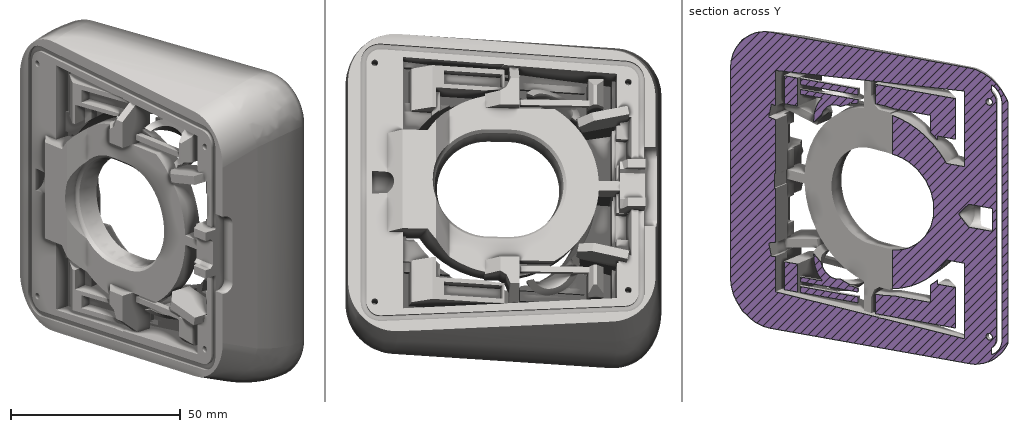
import cadquery as cq
import math


TILT = 10
WIDTH = 96.5
HEIGHT = 96.0
HALF_X = WIDTH / 2
HALF_Z = HEIGHT / 2
LEFT_DEPTH = 15.6
FLANK_START = 3.1
FLANK_ARC = 49.7
FLANK_DRAFT = 20
CORNER_ROUND = 14.1
BACK_ROUND = 2.9
STOCK_DEPTH = 38.6
OVERLAP = 1

GROOVE_LEFT = -45.3
GROOVE_RIGHT = 38.5
GROOVE_HALF_LEFT = 42.9
GROOVE_HALF_RIGHT = 38.2
GROOVE_WIDTH = 1.7
GROOVE_DEPTH = 1
GROOVE_CORNER = 5.8
PIN_CENTRES = [(-41.1, 36.7), (33.8, 31.9)]
PIN_DIAMETER = 1.9
PIN_DEPTH = 4.8
NOTCH_X = 38.6
NOTCH_HALF_Z = 12.2
NOTCH_DEPTH = 3.4
NOTCH_ROUND = 2.9

LEFT_FLOOR = -13.8
CORNER_FLOOR = -11.9
RIGHT_FLOOR = -15.4
RIGHT_SHELF = -21.2
ALCOVE_FLOOR = -26.1
ALCOVE_DEEP_FLOOR = -23.2
POCKET_LEFT = -32.8
POCKET_SPLIT = -1.2
POCKET_STEP = 29.3
POCKET_RIGHT = 30.4
POCKET_HALF_Z = 38.6
POCKET_TAPER = 0.066
CORNER_X = (-30.9, -2.9)
CORNER_Z = (26.0, 36.9)
ALCOVE_RIGHT = 34.2
ALCOVE_HALF_Z = 21.2
ALCOVE_DEEP_LEFT = 28.3
ALCOVE_DEEP_Z = (7.3, 15.4)

BORE_X = -2.9
BORE_RADIUS = 28.4
BORE_MOUTH = 29.6
BORE_FLARE_START = -7.7

BLOCK_TOP = -21.1
BLOCK_RAMP_FOOT = -16.2
BLOCK_LEFT = -29.1
BLOCK_CREST = -23.9
BLOCK_RIGHT = -23.0
BLOCK_Z = (23.1, 35.9)
BAR_RIGHT = -2.1
BAR_BOTTOM = 29.1
SLOT_X = (-20.6, -2.7)
SLOT_Z = (30.4, 34.4)
SLOT_DEPTH = 3.9
LEDGE_TOP = -16.4
LEDGE_BOTTOM = 19.3
PAD_X = (-32.0, -21.2)
PAD_BOTTOM = 16.8
PAD_HEIGHT = 1

RAIL_X = (1.9, 23.2)
LOW_RAILS = [(28.5, 30.1, -16.4), (31.5, 33.5, -16.9)]
BRIDGE_Z = (24.7, 26.4)
BRIDGE_HEIGHTS = (-2.9, -1)
POST_X = (22.1, 26.5)
POST_CREST = (23.4, 24.4)
POST_Z = (24.6, 33.5)
POST_FOOT = -14.5
POST_SHOULDER = -1.4
POST_TOP = 1.1
POST_SLOPE = [(29.9, 1.9), (34.7, -3.9), (34.7, 1.9)]

CABLE_OUTSIDE = 17.2
CABLE_HOLE = 12.8
CABLE_LEAN = 45
CABLE_ANGLE = 70
CABLE_MOUTH = (12.1, -23.2, 25.1)
CABLE_LENGTH = 19.3
SCREW_DIAMETER = 7.0
SCREW_START = -41.3
SCREW_END = -29.9
SCREW_Y = -16.2

BRACKET_THICK = 6.8
HOOK_HEIGHT = 4.0
HOOK_RAMP = 4.2
CLEARANCE = 0.8
DISC_RADIUS = BORE_RADIUS - CLEARANCE
DISC_FLAT = 23.35
DISC_STEP = 3.9
DISC_SLANT = [(13.0, DISC_FLAT), (17.4, 20.3), (19.8, 20.3)]
TAB_LEFT = -37.4
TAB_TOP_RIGHT = -23.3
TAB_RAMP_END = -19.0
TAB_HALF_Z = 15.15
TAB_CHANNEL_X = -30.2
MIDDLE_ARM_END = 1.4
MIDDLE_ARM_WIDTH = 2.7
MIDDLE_ARM_TOP = 37.15
MIDDLE_HOOK_LEFT = -8.5
MIDDLE_HOOK_TOP = 27.7
MIDDLE_SHOULDER = (-2.4, 28.85)
MIDDLE_SLOPE_START = 31.5
MIDDLE_SLOPE_END = (36.2, -1.9)
MIDDLE_CHANNEL_DEPTH = 13.5
MIDDLE_CHANNEL_TOP = 35.7
NECK_START = 19.3
NECK_HALF_Z = 1.4
NECK_CHANNEL_END = 29.7
END_BLOCK_LEFT = 31.3
END_BLOCK_HALF_Z = 7.2
SADDLE_HALF_Z = 4.6
SADDLE_HEIGHT = 1.1
SADDLE_BEVEL = 1
SIDE_ARM_ROOT = (19.2, 17.85)
SIDE_ARM_ANGLE = 12
SIDE_ARM_LENGTH = 15.0
SIDE_ARM_WIDTH = 2.6
SIDE_CHANNEL_LENGTH = 12.5
OPENING_X = -4.3
OPENING_RADIUS = 16.8
OPENING_BACK_RADIUS = 15.0
OPENING_STRETCH = 6.2
OPENING_BEVEL = 0.9

SIN = math.sin(math.radians(TILT))
COS = math.cos(math.radians(TILT))
FRONT_AT_CENTRE = -(LEFT_DEPTH + HALF_X * SIN / COS)

FRONT = cq.Plane(origin=(0, FRONT_AT_CENTRE, 0), xDir=(COS, -SIN, 0), normal=(-SIN, -COS, 0))


def mirrored(shape):
    """The shape together with its mirror image about Z = 0."""
    return shape.union(shape.mirror("XY"))


def front_plane(height):
    return cq.Workplane(FRONT).workplane(offset=height)


def front_prism(points, low, high):
    """Polygon on the front plane, extruded between two heights along its normal."""
    return front_plane(low).polyline(points).close().extrude(high - low)


def front_block(x0, x1, z0, z1, low, high):
    return front_prism([(x0, z0), (x1, z0), (x1, z1), (x0, z1)], low, high)


def straight_block(x0, x1, y0, y1, z0, z1):
    """Box aligned with the axes, given by its limits."""
    return cq.Workplane("XY").box(x1 - x0, y1 - y0, z1 - z0, centered=False).translate((x0, y0, z0))


def profile_along_z(points, z0, z1):
    return cq.Workplane("XY").workplane(offset=z0).polyline(points).close().extrude(z1 - z0)


def side_prism(points, z0, z1):
    """Outline of (along the front plane, height above it), extruded between two Z levels."""
    side = cq.Plane(origin=(0, FRONT_AT_CENTRE, z0), xDir=FRONT.xDir, normal=(0, 0, -1))
    return cq.Workplane(side).polyline(points).close().extrude(z0 - z1)


def cross_prism(points, x0, x1):
    """Outline of (Z, height above the front plane), extruded along the front plane's slope."""
    section = cq.Plane(origin=FRONT.toWorldCoords((x0, 0, 0)), xDir=(0, 0, 1), normal=FRONT.xDir)
    return cq.Workplane(section).polyline(points).close().extrude(x1 - x0)


def flank(sketch, half):
    """Continue a profile from the back along one bulged flank, for a half width or height."""
    draft = math.radians(FLANK_DRAFT)
    middle = draft / 2
    centre = half - FLANK_ARC
    arc_end = (centre + FLANK_ARC * math.cos(draft), -FLANK_START - FLANK_ARC * math.sin(draft))
    tip = arc_end[0] - (STOCK_DEPTH + arc_end[1]) * math.tan(draft)
    return (
        sketch.lineTo(half, -FLANK_START)
        .threePointArc(
            (centre + FLANK_ARC * math.cos(middle), -FLANK_START - FLANK_ARC * math.sin(middle)), arc_end
        )
        .lineTo(tip, -STOCK_DEPTH)
    )


def wedge():
    left_back = -HALF_X + LEFT_DEPTH * SIN / COS
    left_tip = left_back - STOCK_DEPTH * SIN / COS
    plan = cq.Workplane("XY").moveTo(left_back, 0).lineTo(HALF_X, 0)
    plan = flank(plan, HALF_X).lineTo(left_tip, -STOCK_DEPTH).close()
    plan = plan.extrude(HALF_Z, both=True)
    across = cq.Plane(origin=(-WIDTH, 0, 0), xDir=(0, 0, 1), normal=(-1, 0, 0))
    half = flank(cq.Workplane(across).lineTo(HALF_Z, 0), HALF_Z).lineTo(0, -STOCK_DEPTH).close()
    half = half.extrude(-2 * WIDTH)
    body = plan.intersect(mirrored(half))
    body = body.edges("not(|X or |Z)").fillet(CORNER_ROUND)
    body = body.faces(">Y").edges().fillet(BACK_ROUND)
    return body.cut(front_block(-WIDTH, WIDTH, -HALF_X, HALF_X, 0, STOCK_DEPTH))


def seal_groove():
    """Narrow groove that follows the tapered rim."""
    outline = [
        (GROOVE_LEFT, GROOVE_HALF_LEFT),
        (GROOVE_RIGHT, GROOVE_HALF_RIGHT),
        (GROOVE_RIGHT, -GROOVE_HALF_RIGHT),
        (GROOVE_LEFT, -GROOVE_HALF_LEFT),
    ]
    corners = cq.selectors.ParallelDirSelector(FRONT.zDir)
    outer = front_prism(outline, -GROOVE_DEPTH, OVERLAP).edges(corners).fillet(GROOVE_CORNER)
    inner = (
        front_plane(-GROOVE_DEPTH)
        .polyline(outline)
        .close()
        .offset2D(-GROOVE_WIDTH)
        .extrude(OVERLAP + GROOVE_DEPTH)
    )
    inner = inner.edges(corners).fillet(GROOVE_CORNER - GROOVE_WIDTH)
    return outer.cut(inner)


def pin_holes():
    centres = [(x, side * z) for x, z in PIN_CENTRES for side in (1, -1)]
    return front_plane(-PIN_DEPTH).pushPoints(centres).circle(PIN_DIAMETER / 2).extrude(2 * PIN_DEPTH)


def rim_notch():
    """Shallow notch across the right rim, with rounded ends."""
    notch = front_block(NOTCH_X, HALF_X, -NOTCH_HALF_Z, NOTCH_HALF_Z, -NOTCH_DEPTH, 2 * NOTCH_DEPTH)
    return notch.edges(cq.selectors.ParallelDirSelector(FRONT.xDir)).fillet(NOTCH_ROUND)


def pocket_edge(x):
    """Half height of the pocket opening, which narrows to the right."""
    return POCKET_HALF_Z - POCKET_TAPER * (x - POCKET_LEFT)


def tapered_pocket(x0, x1, floor):
    """Pocket with walls square to the front plane and a floor parallel to the back."""
    half0 = pocket_edge(x0)
    half1 = pocket_edge(x1)
    pocket = front_prism([(x0, half0), (x1, half1), (x1, -half1), (x0, -half0)], -STOCK_DEPTH, OVERLAP)
    return pocket.intersect(straight_block(-HALF_X, HALF_X, -STOCK_DEPTH, floor, -HALF_Z, HALF_Z))


def pockets():
    left = tapered_pocket(POCKET_LEFT, POCKET_SPLIT, LEFT_FLOOR)
    right = tapered_pocket(POCKET_SPLIT, POCKET_RIGHT, RIGHT_SHELF)
    right = right.union(tapered_pocket(POCKET_SPLIT, POCKET_STEP, RIGHT_FLOOR))
    alcove = straight_block(0, ALCOVE_RIGHT, -STOCK_DEPTH, ALCOVE_FLOOR, -ALCOVE_HALF_Z, ALCOVE_HALF_Z)
    corner = mirrored(straight_block(*CORNER_X, -STOCK_DEPTH, CORNER_FLOOR, *CORNER_Z))
    deep = straight_block(ALCOVE_DEEP_LEFT, ALCOVE_RIGHT, -STOCK_DEPTH, ALCOVE_DEEP_FLOOR, *ALCOVE_DEEP_Z)
    return left.union(right).union(alcove).union(corner).union(mirrored(deep))


def bore():
    """Round bore from the back, flared to its mouth at the left pocket floor."""
    section = [
        (0, OVERLAP),
        (BORE_RADIUS, OVERLAP),
        (BORE_RADIUS, BORE_FLARE_START),
        (BORE_MOUTH, LEFT_FLOOR),
        (BORE_MOUTH, -STOCK_DEPTH),
        (0, -STOCK_DEPTH),
    ]
    round_part = cq.Workplane("XY").polyline(section).close().revolve(360, (0, 0, 0), (0, 1, 0))
    return round_part.translate((BORE_X, 0, 0))


def arm_channels():
    """Slots through the body that leave room around the arms of the bracket."""
    deep = -STOCK_DEPTH
    neck = NECK_HALF_Z + CLEARANCE
    tab_side = TAB_HALF_Z + CLEARANCE
    arm_left = MIDDLE_ARM_END - MIDDLE_ARM_WIDTH - CLEARANCE
    arm_right = MIDDLE_ARM_END + CLEARANCE
    channels = front_block(0, NECK_CHANNEL_END, -neck, neck, deep, 0)
    channels = channels.union(straight_block(TAB_CHANNEL_X, BORE_X, deep, OVERLAP, -tab_side, tab_side))
    upper = front_block(arm_left, arm_right, 0, MIDDLE_CHANNEL_TOP, -MIDDLE_CHANNEL_DEPTH, 0)
    slanted = front_block(0, SIDE_CHANNEL_LENGTH, -CLEARANCE, SIDE_ARM_WIDTH + CLEARANCE, deep, 0)
    return channels.union(mirrored(upper)).union(mirrored(place_side_arm(slanted)))


def cable_tube(diameter, outward_length):
    """Slanted cylinders that run from the right pockets down into the bore."""
    lean = math.radians(CABLE_LEAN)
    angle = math.radians(CABLE_ANGLE)
    axis = (math.cos(lean) * math.cos(angle), -math.sin(lean), math.cos(lean) * math.sin(angle))
    mouth = cq.Workplane(cq.Plane(origin=CABLE_MOUTH, normal=axis)).workplane(offset=outward_length)
    return mirrored(mouth.circle(diameter / 2).extrude(-CABLE_LENGTH - outward_length))


def screw_channel():
    """Round channel along X in the left rim, with a conical end inside the tab."""
    radius = SCREW_DIAMETER / 2
    profile = [(SCREW_START, 0), (SCREW_START, radius), (SCREW_END - radius, radius), (SCREW_END, 0)]
    channel = cq.Workplane("XY").polyline(profile).close().revolve(360, (0, 0, 0), (1, 0, 0))
    return channel.translate((0, SCREW_Y, 0))


def left_blocks():
    """Ramped blocks with a flat top and a long slot, and a lower ledge beside each."""
    buried = LEFT_FLOOR + 3 * OVERLAP
    bottom, top = BLOCK_Z
    ramp = [
        (BLOCK_LEFT, buried),
        (BLOCK_LEFT, BLOCK_RAMP_FOOT),
        (BLOCK_CREST, BLOCK_TOP),
        (BLOCK_RIGHT, BLOCK_TOP),
        (BLOCK_RIGHT, buried),
    ]
    block = profile_along_z(ramp, bottom, top)
    bar = straight_block(BLOCK_CREST, BAR_RIGHT, BLOCK_TOP, buried, BAR_BOTTOM, top)
    ledge = straight_block(BLOCK_RIGHT, SLOT_X[0], LEDGE_TOP, buried, LEDGE_BOTTOM, BAR_BOTTOM)
    pad = straight_block(*PAD_X, LEFT_FLOOR - PAD_HEIGHT, buried, PAD_BOTTOM, bottom)
    slot = straight_block(*SLOT_X, BLOCK_TOP - OVERLAP, BLOCK_TOP + SLOT_DEPTH, *SLOT_Z)
    return mirrored(block.union(bar).union(ledge).union(pad).cut(slot))


def right_rails():
    """Low rails along X on the right pocket floors."""
    rails = cq.Workplane("XY")
    for z0, z1, top in LOW_RAILS:
        rails = rails.union(straight_block(*RAIL_X, top, RIGHT_FLOOR + OVERLAP, z0, z1))
    return mirrored(rails)


def right_posts():
    """Crested posts, sloped on the side away from the middle, each with a bridge to the left."""
    left, right = POST_X
    crest_left, crest_right = POST_CREST
    outline = [
        (left, POST_FOOT),
        (left, POST_SHOULDER),
        (crest_left, POST_TOP),
        (crest_right, POST_TOP),
        (right, POST_SHOULDER),
        (right, POST_FOOT),
    ]
    slope = cross_prism(POST_SLOPE, left - OVERLAP, right + OVERLAP)
    post = side_prism(outline, *POST_Z).cut(slope)
    return mirrored(post.union(front_block(*RAIL_X, *BRIDGE_Z, *BRIDGE_HEIGHTS)))


def place_side_arm(shape):
    """Move a shape drawn along local x to the root of a side arm and turn it outward."""
    centre = FRONT.origin
    turned = shape.rotate(centre.toTuple(), (centre + FRONT.zDir).toTuple(), SIDE_ARM_ANGLE)
    return turned.translate((FRONT.toWorldCoords(SIDE_ARM_ROOT) - centre).toTuple())


def hook(x0, ramp, x1, z0, z1):
    """Hook standing on the front plane, with a ramp on its left side."""
    top = [(x0, 0), (x0 + ramp, HOOK_HEIGHT), (x1, HOOK_HEIGHT)]
    outline = [(x0, -BRACKET_THICK)] + top + [(x1, -BRACKET_THICK)]
    return side_prism(outline, z0, z1)


def disc_column():
    """Round column along Y that bounds the disc; it shares its axis with the bore."""
    return cq.Workplane("XZ", origin=(BORE_X, 0, 0)).circle(DISC_RADIUS).extrude(STOCK_DEPTH)


def disc():
    """Disc parallel to the front plane, stepped down above and below on its right part."""
    slab = front_block(-HALF_X, HALF_X, -HALF_Z, HALF_Z, -BRACKET_THICK, 0)
    corner = (MIDDLE_ARM_END, DISC_FLAT)
    step = [(MIDDLE_ARM_END, HALF_Z), corner] + DISC_SLANT + [(DISC_SLANT[-1][0], HALF_Z)]
    return slab.intersect(disc_column()).cut(mirrored(front_prism(step, -DISC_STEP, 0)))


def tab():
    """Thick left tab, ramped at both ends, that joins the disc to the left rim."""
    ramp_down = [(TAB_TOP_RIGHT, HOOK_HEIGHT), (TAB_RAMP_END, 0)]
    outline = [(TAB_LEFT, -BRACKET_THICK), (TAB_LEFT, 0), (TAB_LEFT + HOOK_RAMP, HOOK_HEIGHT)]
    outline += ramp_down + [(TAB_RAMP_END, -BRACKET_THICK)]
    plain = side_prism(outline, -TAB_HALF_Z, TAB_HALF_Z)
    disc_left = BORE_X - DISC_RADIUS
    flared = [(disc_left, 0), (disc_left, HOOK_HEIGHT)] + ramp_down
    return plain.union(side_prism(flared, -DISC_FLAT, DISC_FLAT).intersect(disc_column()))


def middle_arm():
    """Hook on the disc with an arm that slopes down to the pocket wall."""
    arm_left = MIDDLE_ARM_END - MIDDLE_ARM_WIDTH
    hook_crest = MIDDLE_HOOK_LEFT + HOOK_RAMP
    base = hook(MIDDLE_HOOK_LEFT, HOOK_RAMP, MIDDLE_ARM_END, DISC_FLAT, MIDDLE_HOOK_TOP)
    outline = [
        (hook_crest, DISC_FLAT),
        (hook_crest, MIDDLE_HOOK_TOP),
        MIDDLE_SHOULDER,
        (arm_left, MIDDLE_SLOPE_START),
        (arm_left, MIDDLE_ARM_TOP),
        (MIDDLE_ARM_END, MIDDLE_ARM_TOP),
        (MIDDLE_ARM_END, DISC_FLAT),
    ]
    arm = front_prism(outline, -BRACKET_THICK, HOOK_HEIGHT)
    above_slope = [
        (MIDDLE_SLOPE_START, HOOK_HEIGHT),
        MIDDLE_SLOPE_END,
        (HALF_Z, MIDDLE_SLOPE_END[1]),
        (HALF_Z, HOOK_HEIGHT),
    ]
    return base.union(arm.cut(cross_prism(above_slope, hook_crest, MIDDLE_ARM_END)))


def end_block():
    """Saddle on the right rim with a hook on either side, joined to the disc by a neck."""
    neck = front_block(NECK_START, END_BLOCK_LEFT + OVERLAP, -NECK_HALF_Z, NECK_HALF_Z, -BRACKET_THICK, 0)
    half_outline = [
        (0, -BRACKET_THICK),
        (0, SADDLE_HEIGHT),
        (SADDLE_HALF_Z - SADDLE_BEVEL, SADDLE_HEIGHT),
        (SADDLE_HALF_Z, SADDLE_HEIGHT + SADDLE_BEVEL),
        (END_BLOCK_HALF_Z, SADDLE_HEIGHT),
        (END_BLOCK_HALF_Z, -BRACKET_THICK),
    ]
    saddle = mirrored(cross_prism(half_outline, END_BLOCK_LEFT, NOTCH_X))
    side_hook = hook(END_BLOCK_LEFT, HOOK_RAMP / 2, NOTCH_X, SADDLE_HALF_Z, END_BLOCK_HALF_Z)
    return neck.union(saddle).union(mirrored(side_hook))


def opening_stage(height, radius, depth, end_radius):
    """Oblong cut from a height inward, whose end radius changes over the depth."""
    taper = math.degrees(math.atan((radius - end_radius) / depth))
    mouth = front_plane(height).center(OPENING_X, 0).slot2D(2 * radius + OPENING_STRETCH, 2 * radius)
    return mouth.extrude(-depth, taper=taper)


def bracket_opening():
    """Oblong opening through the disc: a bevelled mouth, then narrowing toward the back."""
    above = opening_stage(2 * HOOK_HEIGHT, OPENING_RADIUS, 2 * HOOK_HEIGHT, OPENING_RADIUS)
    bevel = opening_stage(0, OPENING_RADIUS, OPENING_BEVEL, OPENING_RADIUS - OPENING_BEVEL)
    throat = opening_stage(
        -OPENING_BEVEL, OPENING_RADIUS - OPENING_BEVEL, BRACKET_THICK - OPENING_BEVEL, OPENING_BACK_RADIUS
    )
    return above.union(bevel).union(throat)


def bracket():
    side_arm = place_side_arm(hook(0, HOOK_RAMP, SIDE_ARM_LENGTH, 0, SIDE_ARM_WIDTH))
    shape = disc().union(tab()).union(end_block())
    shape = shape.union(mirrored(middle_arm())).union(mirrored(side_arm))
    return shape.cut(bracket_opening())


body = wedge().cut(seal_groove()).cut(pin_holes()).cut(pockets())
body = body.union(left_blocks()).union(right_rails()).union(cable_tube(CABLE_OUTSIDE, 0))
body = body.cut(bore()).cut(arm_channels()).cut(cable_tube(CABLE_HOLE, OVERLAP))
body = body.union(right_posts()).union(bracket())
result = body.cut(rim_notch()).cut(screw_channel())